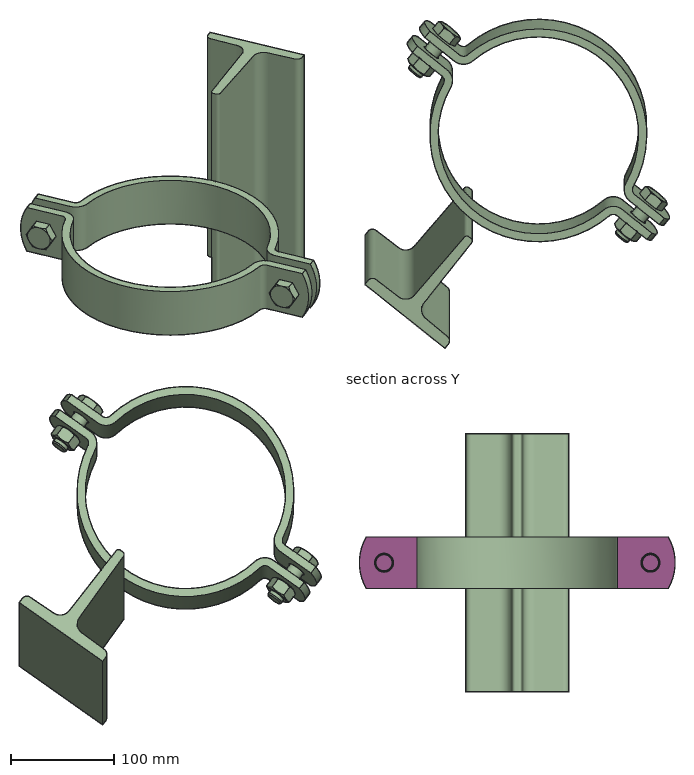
import cadquery as cq
import math


ring_outer_radius = 105.0
strip_thickness = 8.0
strip_width = 50.0
lug_gap = 11.0
bend_inner_radius = 6.0
clamp_length = 306.0
lug_end_radius = 50.0

bolt_edge_distance = 24.0
bolt_hole_diameter = 18.0
bolt_diameter = 16.0
bolt_length = 45.0
bolt_tip_diameter = 14.92
bolt_tip_length = 1.5
hexagon_sides = 6
hex_across_flats = 24.0
head_height = 10.0
nut_height = 13.0
nut_face_diameter = 22.0
hex_chamfer_angle = 30.0

tee_length = 250.0
tee_size = 100.0
flange_thickness = 11.0
web_tip_thickness = 8.9
tee_taper = 0.02
root_radius = 11.0
toe_radius = 5.5
web_tip_radius = 3.0
weld_width = 2.0
weld_depth = 2.0

half_length = clamp_length / 2
ring_inner_radius = ring_outer_radius - strip_thickness
bend_outer_radius = bend_inner_radius + strip_thickness
lug_inner_y = lug_gap / 2
lug_outer_y = lug_inner_y + strip_thickness
bend_y = lug_outer_y + bend_inner_radius
bend_x = math.sqrt((ring_outer_radius + bend_inner_radius) ** 2 - bend_y ** 2)
bend_angle = math.atan2(bend_y, bend_x)
bolt_x = half_length - bolt_edge_distance


def ring_point(radius, angle, side=1):
    """Point on a circle about the ring axis; side = -1 mirrors it to -X."""
    return (side * radius * math.cos(angle), radius * math.sin(angle))


def bend_middle(radius, side):
    """Middle of the bend arc that joins a lug to the ring."""
    lug_direction = 3 * math.pi / 2
    ring_direction = math.pi + bend_angle
    angle = (lug_direction + ring_direction) / 2
    return (
        side * (bend_x + radius * math.cos(angle)),
        bend_y + radius * math.sin(angle),
    )


def make_half_clamp():
    """Bent strip on the +Y side, with rounded lug ends and bolt holes."""
    strip = (
        cq.Workplane("XY")
        .workplane(offset=-strip_width / 2)
        .moveTo(half_length, lug_outer_y)
        .lineTo(bend_x, lug_outer_y)
        .threePointArc(bend_middle(bend_inner_radius, 1), ring_point(ring_outer_radius, bend_angle))
        .threePointArc((0, ring_outer_radius), ring_point(ring_outer_radius, bend_angle, -1))
        .threePointArc(bend_middle(bend_inner_radius, -1), (-bend_x, lug_outer_y))
        .lineTo(-half_length, lug_outer_y)
        .lineTo(-half_length, lug_inner_y)
        .lineTo(-bend_x, lug_inner_y)
        .threePointArc(bend_middle(bend_outer_radius, -1), ring_point(ring_inner_radius, bend_angle, -1))
        .threePointArc((0, ring_inner_radius), ring_point(ring_inner_radius, bend_angle))
        .threePointArc(bend_middle(bend_outer_radius, 1), (bend_x, lug_inner_y))
        .lineTo(half_length, lug_inner_y)
        .close()
        .extrude(strip_width)
    )
    half_width = strip_width / 2
    end_x = half_length - lug_end_radius + math.sqrt(lug_end_radius ** 2 - half_width ** 2)
    outline = (
        cq.Workplane("XZ")
        .moveTo(-end_x, -half_width)
        .lineTo(end_x, -half_width)
        .threePointArc((half_length, 0), (end_x, half_width))
        .lineTo(-end_x, half_width)
        .threePointArc((-half_length, 0), (-end_x, -half_width))
        .close()
        .extrude(-2 * ring_outer_radius)
    )
    holes = (
        cq.Workplane("XZ")
        .pushPoints([(-bolt_x, 0), (bolt_x, 0)])
        .circle(bolt_hole_diameter / 2)
        .extrude(-lug_outer_y)
    )
    return strip.intersect(outline).cut(holes)


def make_hexagon(height, face_diameter, both_ends):
    """Hexagon standing on z = 0 with corners on X, its top or both ends turned down to a round face."""
    corner_radius = hex_across_flats / 2 / math.cos(math.pi / hexagon_sides)
    face_radius = face_diameter / 2
    drop = (corner_radius - face_radius) * math.tan(math.radians(hex_chamfer_angle))
    hexagon = cq.Workplane("XY").polygon(hexagon_sides, 2 * corner_radius).extrude(height)
    envelope = cq.Workplane("XZ")
    if both_ends:
        envelope = envelope.lineTo(face_radius, 0).lineTo(corner_radius, drop)
    else:
        envelope = envelope.lineTo(corner_radius, 0)
    envelope = (
        envelope.lineTo(corner_radius, height - drop)
        .lineTo(face_radius, height)
        .lineTo(0, height)
        .close()
        .revolve(360, (0, 0, 0), (0, 1, 0))
    )
    return hexagon.intersect(envelope)


def make_bolt(x):
    """Bolt along +Y with its head on the -Y lug and its nut on the +Y lug."""
    shank_length = bolt_length - bolt_tip_length
    shank = cq.Workplane("XY").circle(bolt_diameter / 2).extrude(shank_length)
    tip = (
        cq.Workplane("XY")
        .workplane(offset=shank_length)
        .circle(bolt_diameter / 2)
        .workplane(offset=bolt_tip_length)
        .circle(bolt_tip_diameter / 2)
        .loft()
    )
    head = make_hexagon(head_height, hex_across_flats, False).rotate((0, 0, 0), (1, 0, 0), 180)
    nut = make_hexagon(nut_height, nut_face_diameter, True).translate((0, 0, 2 * lug_outer_y))
    bolt = shank.union(tip).union(head).union(nut)
    return bolt.rotate((0, 0, 0), (1, 0, 0), -90).translate((x, -lug_outer_y, 0))


def round_edge_pair(body, x, y, radius):
    """Fillet the two vertical edges at (x, y) and (-x, y)."""
    for side in (-1, 1):
        edge = cq.selectors.NearestToPointSelector((side * x, y, 0))
        body = body.edges("|Z").edges(edge).fillet(radius)
    return body


def make_tee():
    """T section standing along Z, with its web tip resting on the ring."""
    tip_y = ring_outer_radius
    back_y = tip_y + tee_size
    half_flange = tee_size / 2
    toe_y = back_y - flange_thickness + tee_taper * tee_size / 4
    tip_half = web_tip_thickness / 2
    web_rise = (toe_y - tip_y - tee_taper * (half_flange - tip_half)) / (1 - tee_taper ** 2)
    root_x = tip_half + tee_taper * web_rise
    root_y = tip_y + web_rise

    tee = (
        cq.Workplane("XY")
        .workplane(offset=-tee_length / 2)
        .polyline([
            (-half_flange, back_y),
            (half_flange, back_y),
            (half_flange, toe_y),
            (root_x, root_y),
            (tip_half, tip_y),
            (-tip_half, tip_y),
            (-root_x, root_y),
            (-half_flange, toe_y),
        ])
        .close()
        .extrude(tee_length)
    )
    tee = round_edge_pair(tee, root_x, root_y, root_radius)
    tee = round_edge_pair(tee, half_flange, toe_y, toe_radius)
    return round_edge_pair(tee, tip_half, tip_y, web_tip_radius)


def make_weld():
    """Narrow joint that fuses the flat web tip to the ring."""
    return (
        cq.Workplane("XY")
        .box(weld_width, 2 * weld_depth, strip_width)
        .translate((0, ring_outer_radius, 0))
    )


half_clamp = make_half_clamp()
result = half_clamp.union(half_clamp.mirror("XZ"))
for x in (-bolt_x, bolt_x):
    result = result.union(make_bolt(x))
result = result.union(make_tee()).union(make_weld())